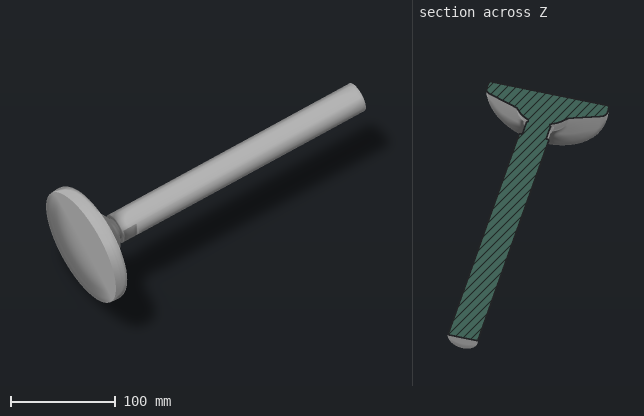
import cadquery as cq
import math

total_length = 319.0

pad_radius = 60.0
underside_radius = 59.3
taper_height = 6.0
rim_height = 9.0
shoulder_radius = 7.0
cone_angle = math.radians(19.2)
cone_top_radius = 25.5

dome_radius = 30.0
dome_center_height = 9.5
dome_edge_radius = 23.3

stem_radius = 15.0
stem_start = 39.5
neck_radius = 11.0
flat_start = 40.8
flat_length = 15.3
across_flats = 24.0

underside_y = -total_length / 2


def dome_height(radius):
    """Height of the dome surface at a distance from the axis."""
    return dome_center_height + math.sqrt(dome_radius**2 - radius**2)


def make_pad():
    """Revolve the half outline (radius, height) about the Y axis."""
    shoulder_center = pad_radius - shoulder_radius

    def shoulder_point(angle):
        return (
            shoulder_center + shoulder_radius * math.sin(angle),
            rim_height + shoulder_radius * math.cos(angle),
        )

    cone_base = shoulder_point(cone_angle)
    shoulder_middle = shoulder_point((cone_angle + math.pi / 2) / 2)
    cone_run = cone_base[0] - cone_top_radius
    cone_top_height = cone_base[1] + cone_run * math.tan(cone_angle)
    dome_middle_radius = dome_edge_radius / 2

    outline = (
        cq.Workplane("XY")
        .lineTo(underside_radius, 0)
        .lineTo(pad_radius, taper_height)
        .lineTo(pad_radius, rim_height)
        .threePointArc(shoulder_middle, cone_base)
        .lineTo(cone_top_radius, cone_top_height)
        .lineTo(dome_edge_radius, dome_height(dome_edge_radius))
        .threePointArc(
            (dome_middle_radius, dome_height(dome_middle_radius)),
            (0, dome_height(0)),
        )
        .close()
    )
    return outline.revolve(360, (0, 0, 0), (0, 1, 0))


def cylinder_along_y(radius, start, end):
    solid = cq.Solid.makeCylinder(
        radius, end - start, cq.Vector(0, start, 0), cq.Vector(0, 1, 0)
    )
    return cq.Workplane(obj=solid)


def make_stem():
    """Round stem with a pair of wrench flats facing -X and +X."""
    stem = cylinder_along_y(stem_radius, stem_start, total_length)
    cutter_width = stem_radius
    cutter_offset = (across_flats + cutter_width) / 2
    for side in (-1, 1):
        cutter = cq.Workplane("XY").box(cutter_width, flat_length, 2 * stem_radius)
        flat_center = flat_start + flat_length / 2
        stem = stem.cut(cutter.translate((side * cutter_offset, flat_center, 0)))
    return stem


neck = cylinder_along_y(neck_radius, dome_center_height, stem_start)
foot = make_pad().union(neck).union(make_stem())
result = foot.translate((0, underside_y, 0))